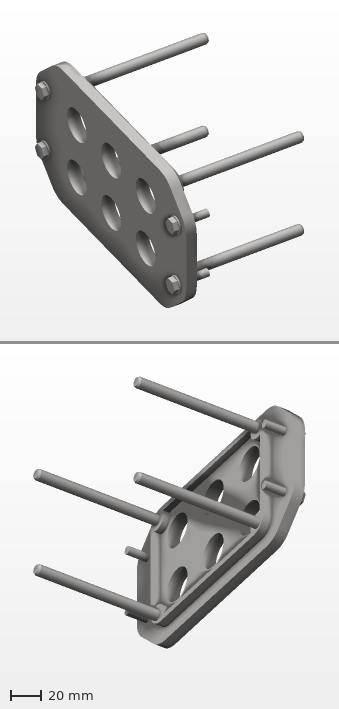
import cadquery as cq
import math

plate_length = 192.0
plate_height = 112.0
plate_thickness = 8.0
corner_cut = 26.0
corner_cut_radius = 20.0

tray_height = 93.0
tray_thickness = 7.0
tray_floor = 2.0
tray_corner_radius = 12.0
tray_rim_width = 4.0
lug_radius = 8.0

opening_diameter = 25.0
opening_pitch = 44.0
opening_columns = 3
opening_rows = 2

rod_diameter = 8.0
rod_length = 94.8
rod_tip_length = 1.5
rod_tip_inset = 0.8
rod_spacing_x = 122.0
rod_spacing_z = 78.0
tray_length = rod_spacing_x + (tray_height - rod_spacing_z)

bolt_spacing_x = 167.0
bolt_spacing_z = 50.0
bolt_shank_diameter = 6.0
bolt_projection = 15.7
bolt_flange_diameter = 12.5
bolt_flange_thickness = 1.2
bolt_hex_across_flats = 10.0
bolt_hex_height = 3.8


def plane_at(y):
    """Plane facing +Y at the given depth, with local x along -X and local y along Z."""
    return cq.Workplane(cq.Plane(origin=(0, y, 0), xDir=(-1, 0, 0), normal=(0, 1, 0)))


def make_front_plate():
    return (
        plane_at(0)
        .rect(plate_length, plate_height)
        .extrude(plate_thickness)
        .edges("|Y")
        .chamfer(corner_cut)
        .edges("|Y")
        .fillet(corner_cut_radius)
    )


def make_tray():
    """Floor with a raised rim and a lug around each rod."""
    outline = (
        plane_at(plate_thickness)
        .rect(tray_length, tray_height)
        .extrude(tray_thickness)
        .edges("|Y")
        .fillet(tray_corner_radius)
    )
    pocket = (
        plane_at(plate_thickness + tray_floor)
        .rect(tray_length - 2 * tray_rim_width, tray_height - 2 * tray_rim_width)
        .extrude(tray_thickness)
        .edges("|Y")
        .fillet(tray_corner_radius - tray_rim_width)
    )
    lugs = (
        plane_at(plate_thickness)
        .rarray(rod_spacing_x, rod_spacing_z, 2, 2)
        .circle(lug_radius)
        .extrude(tray_thickness)
    )
    return outline.cut(pocket.cut(lugs))


def make_openings():
    return (
        plane_at(0)
        .rarray(opening_pitch, opening_pitch, opening_columns, opening_rows)
        .circle(opening_diameter / 2)
        .extrude(plate_thickness + tray_floor)
    )


def make_rods():
    """Four rods rooted in the front plate, each with a tapered tip."""
    return (
        plane_at(plate_thickness)
        .rarray(rod_spacing_x, rod_spacing_z, 2, 2)
        .circle(rod_diameter / 2)
        .extrude(tray_thickness + rod_length)
        .faces(">Y")
        .edges()
        .chamfer(rod_tip_length, rod_tip_inset)
    )


def make_bolts():
    """Four bolts: shank through the plate, round flange and hex head in front of it."""
    shanks = (
        plane_at(0)
        .rarray(bolt_spacing_x, bolt_spacing_z, 2, 2)
        .circle(bolt_shank_diameter / 2)
        .extrude(plate_thickness + bolt_projection)
    )
    flanges = (
        plane_at(0)
        .rarray(bolt_spacing_x, bolt_spacing_z, 2, 2)
        .circle(bolt_flange_diameter / 2)
        .extrude(-bolt_flange_thickness)
    )
    hex_across_corners = bolt_hex_across_flats / math.cos(math.pi / 6)
    heads = (
        plane_at(-bolt_flange_thickness)
        .rarray(bolt_spacing_x, bolt_spacing_z, 2, 2)
        .polygon(6, hex_across_corners)
        .extrude(-bolt_hex_height)
    )
    return shanks.union(flanges).union(heads)


plates = make_front_plate().union(make_tray()).cut(make_openings())
result = plates.union(make_rods()).union(make_bolts())